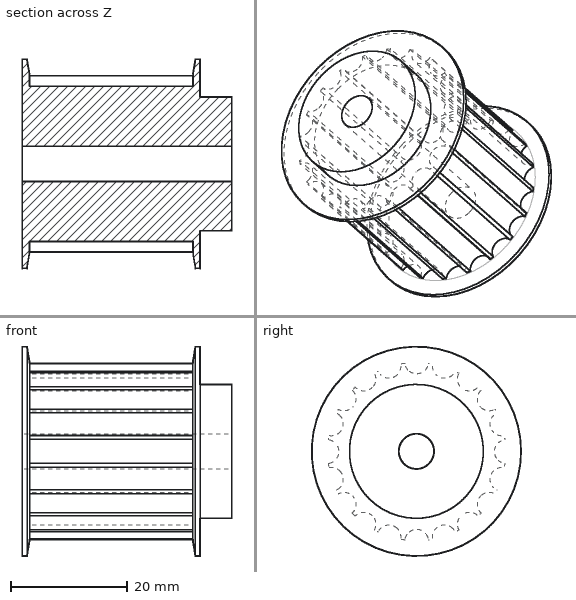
import cadquery as cq
import math

total_length = 36.0
flange_diameter = 36.0
hub_diameter = 23.0
bore_diameter = 6.0

toothed_length = 30.55
tooth_count = 20
tip_radius = 15.3
land_angle = 2.7
groove_radius = 2.05

rim_thickness = 0.83
flange_root_thickness = 1.25
cone_inner_radius = 15.48


def cylinder(diameter, length):
    return cq.Workplane("YZ").circle(diameter / 2).extrude(length)


def flange():
    """Flange with its flat face at X = 0 and its conical face toward +X."""
    rim_radius = flange_diameter / 2
    return (
        cq.Workplane("XY")
        .moveTo(0, 0)
        .lineTo(0, rim_radius)
        .lineTo(rim_thickness, rim_radius)
        .lineTo(flange_root_thickness, cone_inner_radius)
        .lineTo(flange_root_thickness, 0)
        .close()
        .revolve(360, (0, 0, 0), (1, 0, 0))
    )


def grooves():
    """Round-bottomed grooves whose arcs meet the tooth tips at the land edges."""
    pitch_angle = 360 / tooth_count
    half_gap = math.radians((pitch_angle - land_angle) / 2)
    half_chord = tip_radius * math.sin(half_gap)
    chord_distance = tip_radius * math.cos(half_gap)
    centre_distance = chord_distance + math.sqrt(groove_radius**2 - half_chord**2)
    return (
        cq.Workplane("YZ")
        .polarArray(centre_distance, 0, 360, tooth_count)
        .circle(groove_radius)
        .extrude(toothed_length)
    )


toothed_body = cylinder(2 * tip_radius, toothed_length).cut(grooves())
near_flange = flange()
far_flange = flange().mirror("YZ").translate((toothed_length, 0, 0))
hub = cylinder(hub_diameter, total_length)
bore = cylinder(bore_diameter, total_length)

result = toothed_body.union(near_flange).union(far_flange).union(hub).cut(bore)